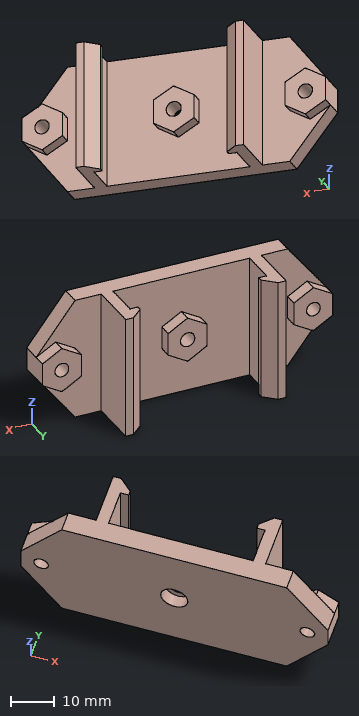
import cadquery as cq
import math

length = 74.0
height = 31.0
depth = 18.0
plate_thickness = 5.0

boss_width = 9.9
boss_height = 3.3
boss_side = boss_width / math.sqrt(3)
boss_spacing = (length - boss_width) / 2

end_hole_diameter = 3.5
center_hole_diameter = 3.6
counterbore_diameter = 6.5
counterbore_depth = 3.0

clip_outer_x = 20.4
clip_thickness = 3.0
hook_overhang = 2.0
hook_length = 4.0
hook_lip = 1.2
clip_top_width = 2.0


def hole(x, diameter, hole_depth):
    """Cylinder sunk from the front face toward +Y."""
    center = cq.Vector(x, 0, 0)
    return cq.Workplane(cq.Solid.makeCylinder(diameter / 2, hole_depth, center, cq.Vector(0, 1, 0)))


def plate():
    """Elongated octagon whose short ends match the sides of the end bosses."""
    end_x = length / 2
    shoulder_x = end_x - boss_width
    points = [
        (end_x, boss_side / 2),
        (shoulder_x, height / 2),
        (-shoulder_x, height / 2),
        (-end_x, boss_side / 2),
        (-end_x, -boss_side / 2),
        (-shoulder_x, -height / 2),
        (shoulder_x, -height / 2),
        (end_x, -boss_side / 2),
    ]
    return cq.Workplane("XZ").polyline(points).close().extrude(-plate_thickness)


def boss(x):
    """Hexagon with corners pointing along Z, standing on the back of the plate."""
    points = []
    for corner in range(6):
        angle = math.radians(30 + 60 * corner)
        points.append((x + boss_side * math.cos(angle), boss_side * math.sin(angle)))
    start = cq.Workplane("XZ").workplane(offset=-plate_thickness)
    return start.polyline(points).close().extrude(-boss_height)


def clip(side):
    """Full-height snap clip with its hook facing the middle of the part."""
    inner_x = clip_outer_x - clip_thickness
    tip_x = inner_x - hook_overhang
    hook_y = depth - hook_length
    profile = [
        (clip_outer_x, plate_thickness),
        (clip_outer_x, depth),
        (clip_outer_x - clip_top_width, depth),
        (tip_x, hook_y + hook_lip),
        (tip_x, hook_y),
        (inner_x, hook_y),
        (inner_x, plate_thickness),
    ]
    points = [(side * x, y) for x, y in profile]
    return cq.Workplane("XY").polyline(points).close().extrude(height / 2, both=True)


result = plate()
for boss_x in (-boss_spacing, 0, boss_spacing):
    result = result.union(boss(boss_x))
for clip_side in (-1, 1):
    result = result.union(clip(clip_side))

through = plate_thickness + boss_height
for hole_x in (-boss_spacing, boss_spacing):
    result = result.cut(hole(hole_x, end_hole_diameter, through))
result = result.cut(hole(0, center_hole_diameter, through))
result = result.cut(hole(0, counterbore_diameter, counterbore_depth))